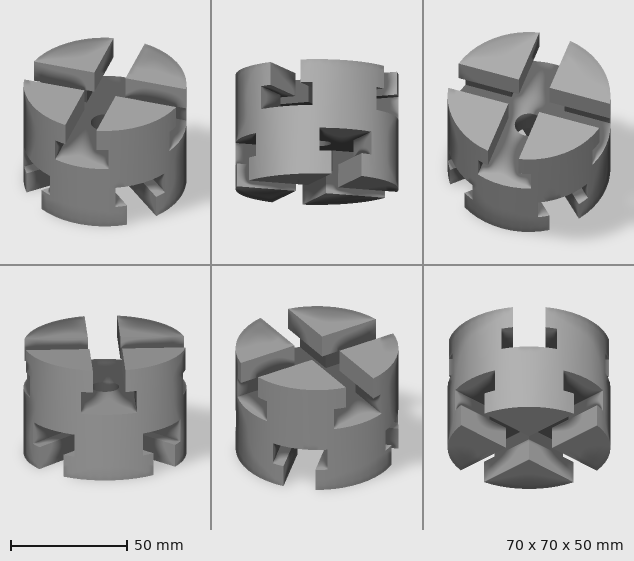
import cadquery as cq

body_diameter = 70.0
body_height = 50.0
bore_diameter = 12.25
neck_width = 14.0
neck_depth = 10.0
head_width = 24.0
head_depth = 10.0

bottom_slot_angles = (0.0, 90.0)
top_slot_angles = (45.0, 135.0)

slot_overrun = 5.0
slot_depth = neck_depth + head_depth
slot_length = body_diameter + 2 * slot_overrun


def slot_channel(width, depth, bottom_z):
    """Straight channel along X through the axis, with its floor at bottom_z."""
    channel = cq.Workplane("XY").box(slot_length, width, depth, centered=(True, True, False))
    return channel.translate((0, 0, bottom_z))


def bottom_t_slot():
    """T-slot along X that opens on the bottom face."""
    neck = slot_channel(neck_width, neck_depth, 0)
    head = slot_channel(head_width, head_depth, neck_depth)
    return neck.union(head)


def top_t_slot():
    """T-slot along X that opens on the top face."""
    head = slot_channel(head_width, head_depth, body_height - slot_depth)
    neck = slot_channel(neck_width, neck_depth, body_height - neck_depth)
    return head.union(neck)


def turned(shape, angle):
    """Shape turned about the Z axis by angle degrees."""
    return shape.rotate((0, 0, 0), (0, 0, 1), angle)


body = cq.Workplane("XY").circle(body_diameter / 2).circle(bore_diameter / 2).extrude(body_height)

for angle in bottom_slot_angles:
    body = body.cut(turned(bottom_t_slot(), angle))

for angle in top_slot_angles:
    body = body.cut(turned(top_t_slot(), angle))

result = body